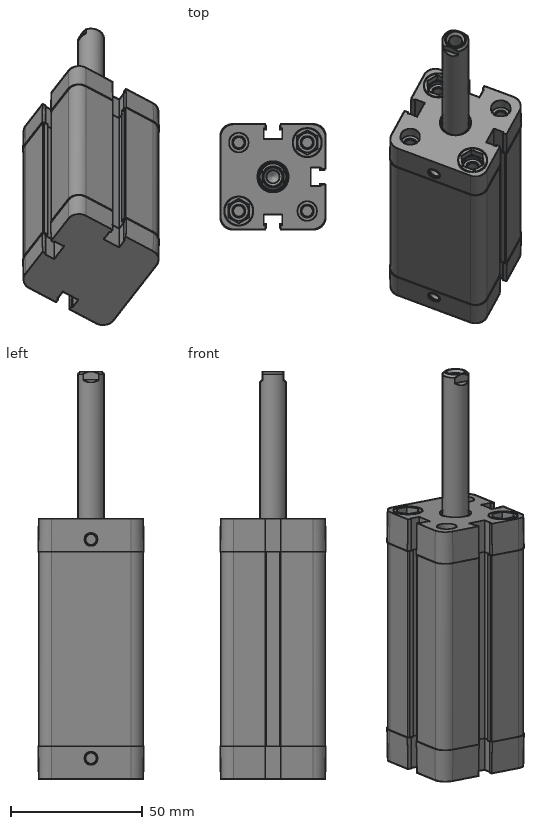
import cadquery as cq
import math

BODY_HEIGHT = 99.0
CAP_HEIGHT = 12.5
ROD_TOP = 155.0
TUBE_HEIGHT = BODY_HEIGHT - 2 * CAP_HEIGHT
TOP_SEAM = BODY_HEIGHT - CAP_HEIGHT

CAP_WIDTH = 40.3
TUBE_WIDTH = 39.8
CAP_CORNER_RADIUS = 5.0
TUBE_CORNER_RADIUS = CAP_CORNER_RADIUS - (CAP_WIDTH - TUBE_WIDTH) / 2
CAP_TAPER = math.degrees(math.atan((CAP_WIDTH - TUBE_WIDTH) / 2 / CAP_HEIGHT))

SLOT_ANGLES = (0, 90, -90)
SLOT_WIDTH = 7.0
SLOT_FLOOR = 14.4
CAP_MOUTH_WIDTH = 6.0
CAP_LIP_START = 18.5
TUBE_MOUTH_WIDTH = 5.1
TUBE_LIP_START = 17.8
TUBE_MOUTH_CHAMFER = 0.5
CUT_CLEARANCE = 1.5
SLOT_REACH = CAP_WIDTH / 2 + CUT_CLEARANCE

THREAD_DIAMETER = 5.0
CORE_DIAMETER = 4.2
THREAD_CHAMFER = (THREAD_DIAMETER - CORE_DIAMETER) / 2

CORNER_OFFSET = 13.0
SCREW_CORNERS = ((1, 1), (-1, -1))
PLAIN_CORNERS = ((-1, 1), (1, -1))
CORNER_BORE_DIAMETER = 7.5
CORNER_BORE_DEPTH = 4.8
CORNER_CORE_DEPTH = 9.3
SCREW_RECESS_DIAMETER = 11.2
SCREW_HEAD_DIAMETER = 10.8
SCREW_RECESS_DEPTH = 0.5
HEX_ACROSS_FLATS = 8.0
HEX_DEPTH = 3.1

PORT_INSET = 7.9
PORT_MOUTH_DEPTH = 0.5
PORT_DEPTH = 4.6

ROD_DIAMETER = 10.0
ROD_TIP_DIAMETER = 8.0
ROD_TIP_LENGTH = 1.0
ROD_FLATS_WIDTH = 8.0
ROD_FLATS_LENGTH = 3.1
ROD_HOLE_DEPTH = 12.4
ROD_COUNTERSINK_DIAMETER = 7.1
DRILL_POINT_ANGLE = 118.0
WIPER_DIAMETER = 10.8
WIPER_RIM_DIAMETER = 12.0
WIPER_DEPTH = 3.1


def disc(diameter, bottom, height):
    """Vertical cylinder on the Z axis."""
    return cq.Workplane("XY").workplane(offset=bottom).circle(diameter / 2).extrude(height)


def cone(bottom_diameter, top_diameter, bottom, height):
    """Vertical truncated cone on the Z axis."""
    solid = cq.Solid.makeCone(bottom_diameter / 2, top_diameter / 2, height, cq.Vector(0, 0, bottom))
    return cq.Workplane(solid)


def rounded_square(width, radius):
    """Sketch of the square outline with round corners."""
    return cq.Sketch().rect(width, width).vertices().fillet(radius)


def on_slotted_sides(cutter):
    """Copies of a cutter made for the +X side, one on each slotted side."""
    cutters = cq.Workplane("XY")
    for angle in SLOT_ANGLES:
        cutters = cutters.add(cutter.rotate((0, 0, 0), (0, 0, 1), angle))
    return cutters.combine()


def slot_cutters(height, lip_start, mouth_width):
    """T-shaped slots, one for each slotted side, starting at Z = 0."""
    channel = cq.Workplane("XY").box(
        lip_start - SLOT_FLOOR, SLOT_WIDTH, height, centered=(False, True, False)
    )
    mouth = cq.Workplane("XY").box(
        SLOT_REACH - SLOT_FLOOR, mouth_width, height, centered=(False, True, False)
    )
    return on_slotted_sides(channel.union(mouth).translate((SLOT_FLOOR, 0, 0)))


def mouth_chamfer_cutters():
    """Flared slot entrances at the faces of the tube."""
    face = TUBE_WIDTH / 2
    inner = TUBE_MOUTH_WIDTH / 2
    outer = inner + TUBE_MOUTH_CHAMFER
    flare = (
        cq.Workplane("XY")
        .polyline(
            [
                (face - TUBE_MOUTH_CHAMFER, -inner),
                (face, -outer),
                (face, outer),
                (face - TUBE_MOUTH_CHAMFER, inner),
            ]
        )
        .close()
        .extrude(TUBE_HEIGHT)
    )
    return on_slotted_sides(flare)


def make_tube():
    """Extruded profile between the two caps."""
    outline = rounded_square(TUBE_WIDTH, TUBE_CORNER_RADIUS)
    tube = cq.Workplane("XY").placeSketch(outline).extrude(TUBE_HEIGHT)
    tube = tube.cut(slot_cutters(TUBE_HEIGHT, TUBE_LIP_START, TUBE_MOUTH_WIDTH))
    tube = tube.cut(mouth_chamfer_cutters())
    return tube.translate((0, 0, CAP_HEIGHT))


def port_cutter():
    """Air port entering the -X side of a cap whose seam is at Z = 0."""
    mouth = disc(THREAD_DIAMETER, 0, PORT_MOUTH_DEPTH)
    lead_in = cone(THREAD_DIAMETER, CORE_DIAMETER, PORT_MOUTH_DEPTH, THREAD_CHAMFER)
    core = disc(CORE_DIAMETER, 0, PORT_DEPTH)
    port = mouth.union(lead_in).union(core).rotate((0, 0, 0), (0, 1, 0), 90)
    return port.translate((-CAP_WIDTH / 2, 0, CAP_HEIGHT - PORT_INSET))


def make_cap_blank():
    """Cap with its seam at Z = 0 and its outer end at Z = CAP_HEIGHT."""
    outline = rounded_square(CAP_WIDTH, CAP_CORNER_RADIUS)
    cap = cq.Workplane("XY").placeSketch(outline).extrude(CAP_HEIGHT, taper=CAP_TAPER)
    cap = cap.cut(slot_cutters(CAP_HEIGHT, CAP_LIP_START, CAP_MOUTH_WIDTH))
    return cap.cut(port_cutter())


def corner_bore():
    """Stepped corner hole with a threaded core at its floor."""
    floor = CAP_HEIGHT - CORNER_BORE_DEPTH
    bore = disc(CORNER_BORE_DIAMETER, floor, CORNER_BORE_DEPTH)
    lead_in = cone(CORE_DIAMETER, THREAD_DIAMETER, floor - THREAD_CHAMFER, THREAD_CHAMFER)
    core = disc(CORE_DIAMETER, CAP_HEIGHT - CORNER_CORE_DEPTH, CORNER_CORE_DEPTH)
    return bore.union(lead_in).union(core)


def screw_bore():
    """Corner hole with a hexagonal socket inside a V-shaped ring groove that bounds the screw head."""
    floor = CAP_HEIGHT - SCREW_RECESS_DEPTH
    head = cone(SCREW_RECESS_DIAMETER, SCREW_HEAD_DIAMETER, floor, SCREW_RECESS_DEPTH)
    groove = disc(SCREW_RECESS_DIAMETER, floor, SCREW_RECESS_DEPTH).cut(head)
    socket = (
        cq.Workplane("XY")
        .workplane(offset=CAP_HEIGHT - HEX_DEPTH)
        .polygon(6, HEX_ACROSS_FLATS, circumscribed=True)
        .extrude(HEX_DEPTH)
    )
    return [groove, socket.union(corner_bore())]


def rod_passage():
    """Opening for the rod, widened and chamfered at the outer end of the cap."""
    rim_depth = (WIPER_RIM_DIAMETER - WIPER_DIAMETER) / 2
    passage = disc(ROD_DIAMETER, 0, CAP_HEIGHT)
    passage = passage.union(disc(WIPER_DIAMETER, CAP_HEIGHT - WIPER_DEPTH, WIPER_DEPTH))
    return passage.union(cone(WIPER_DIAMETER, WIPER_RIM_DIAMETER, CAP_HEIGHT - rim_depth, rim_depth))


def make_top_cap():
    """Cap that guides the rod and carries the corner holes."""
    cap = make_cap_blank().cut(rod_passage())
    for x_side, y_side in PLAIN_CORNERS:
        cap = cap.cut(corner_bore().translate((x_side * CORNER_OFFSET, y_side * CORNER_OFFSET, 0)))
    for x_side, y_side in SCREW_CORNERS:
        for cutter in screw_bore():
            cap = cap.cut(cutter.translate((x_side * CORNER_OFFSET, y_side * CORNER_OFFSET, 0)))
    return cap.translate((0, 0, TOP_SEAM))


def make_bottom_cap():
    """Plain cap, the mirror image of the top cap's blank."""
    return make_cap_blank().mirror("XY").translate((0, 0, CAP_HEIGHT))


def rod_hole():
    """Threaded hole in the tip of the rod with a countersink and a conical drill point."""
    point_depth = THREAD_DIAMETER / 2 / math.tan(math.radians(DRILL_POINT_ANGLE / 2))
    countersink_depth = (ROD_COUNTERSINK_DIAMETER - THREAD_DIAMETER) / 2
    hole_floor = ROD_TOP - ROD_HOLE_DEPTH
    hole = disc(THREAD_DIAMETER, hole_floor, ROD_HOLE_DEPTH)
    hole = hole.union(cone(0, THREAD_DIAMETER, hole_floor - point_depth, point_depth))
    countersink = cone(
        THREAD_DIAMETER, ROD_COUNTERSINK_DIAMETER, ROD_TOP - countersink_depth, countersink_depth
    )
    return hole.union(countersink)


def wrench_flat_cutter(side):
    """Flat on one side of the rod tip that runs out in a 45 degree ramp."""
    inner = ROD_FLATS_WIDTH / 2
    outer = ROD_DIAMETER / 2
    flat_end = ROD_TOP - ROD_FLATS_LENGTH
    profile = [
        (side * outer, ROD_TOP),
        (side * inner, ROD_TOP),
        (side * inner, flat_end),
        (side * outer, flat_end - (outer - inner)),
    ]
    return cq.Workplane("XZ").polyline(profile).close().extrude(outer, both=True)


def make_rod():
    """Piston rod standing on the tube, with a tapered tip and two wrench flats."""
    tip_start = ROD_TOP - ROD_TIP_LENGTH
    rod = disc(ROD_DIAMETER, TOP_SEAM, tip_start - TOP_SEAM)
    rod = rod.union(cone(ROD_DIAMETER, ROD_TIP_DIAMETER, tip_start, ROD_TIP_LENGTH))
    for side in (-1, 1):
        rod = rod.cut(wrench_flat_cutter(side))
    return rod.cut(rod_hole())


tube = make_tube()
top_cap = make_top_cap()
bottom_cap = make_bottom_cap()
rod = make_rod()

result = cq.Compound.makeCompound([tube.val(), top_cap.val(), bottom_cap.val(), rod.val()])